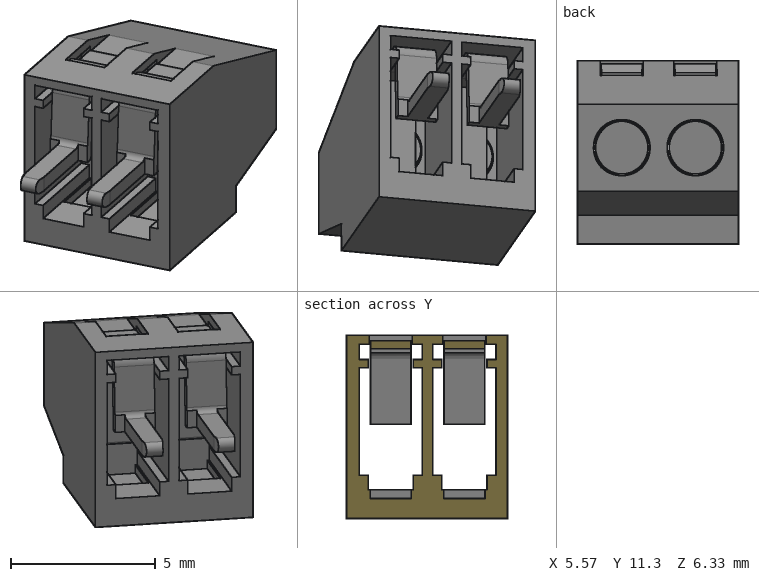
import cadquery as cq
import math


width = 5.57
depth = 8.5
height = 6.33
slope_start_y = 3.5
back_top_z = 4.83
back_bottom_z = 1.83
foot_depth = 5.3
foot_height = 1.0

pitch = 2.54
row_shift = -0.02
pole_xs = [row_shift - pitch / 2, row_shift + pitch / 2]

cavity_width = 2.17
cavity_floor_z = 1.0
cavity_top_z = 6.01
cavity_depth = 3.69
channel_width = 1.55
ledge_z = 1.5
rib_bottom_z = 5.2
rib_top_z = 5.5
pit_front_y = 1.55
pit_depth = 0.3

slot_width = 1.48
slot_front_y = 1.74
slot_floor_z = 5.825

strip_width = 1.41
pin_width = 0.72
pin_tip_width = 0.58
pin_bottom_z = 3.25
pin_thickness = 0.52
pin_reach = 2.8
pin_taper_length = 0.48
shoulder_y = 0.445
leaf_root_y = 0.47
leaf_lean = math.radians(4)
leaf_thickness = 0.3
leaf_root_radius = 0.22
leaf_top_radius = 0.48
leaf_embed = 0.01
leaf_top_z = cavity_top_z + leaf_embed
leaf_end_y = 1.7

bracket_thickness = 0.15
bracket_top_z = 5.92
bracket_bottom_z = 1.82
bracket_front_y = 1.78
bracket_back_y = 3.7
bracket_edge_radius = 0.1
lip_bend_y = 2.73
lip_angle = math.radians(26)
lip_radius = 0.26
lip_end_height = 0.1

screw_z = (back_top_z + back_bottom_z) / 2
screw_bore_radius = 0.97
screw_radius = 0.91


def block(x_center, x_size, y_range, z_range):
    """Box centred on x_center, spanning the given Y and Z ranges."""
    y0, y1 = y_range
    z0, z1 = z_range
    base = cq.Workplane("XY", origin=(x_center, y0, z0))
    return base.box(x_size, y1 - y0, z1 - z0, centered=(True, False, False))


def rod(x, radius, y_start):
    """Cylinder along Y on the screw axis, ending at the back face."""
    axis_start = cq.Vector(x, y_start, screw_z)
    return cq.Workplane(cq.Solid.makeCylinder(radius, depth - y_start, axis_start, cq.Vector(0, 1, 0)))


def bend(corner, direction_in, direction_out, radius):
    """Start and end points of an arc rounding a corner between two directions."""
    cosine = direction_in[0] * direction_out[0] + direction_in[1] * direction_out[1]
    setback = radius * math.tan(math.acos(cosine) / 2)
    start = (corner[0] - setback * direction_in[0], corner[1] - setback * direction_in[1])
    end = (corner[0] + setback * direction_out[0], corner[1] + setback * direction_out[1])
    return start, end


def housing_blank():
    outline = [
        (0, 0),
        (foot_depth, 0),
        (foot_depth, foot_height),
        (depth, back_bottom_z),
        (depth, back_top_z),
        (slope_start_y, height),
        (0, height),
    ]
    return cq.Workplane("YZ").polyline(outline).close().extrude(width / 2, both=True)


def pole_opening(x):
    """Cavity, top slot, floor pit and screw bore of one pole."""
    y_range = (0, cavity_depth)
    slope = (height - back_top_z) / (depth - slope_start_y)
    slot_back_y = slope_start_y + (height - slot_floor_z) / slope
    opening = block(x, channel_width, y_range, (cavity_floor_z, cavity_top_z))
    opening = opening.union(block(x, cavity_width, y_range, (ledge_z, rib_bottom_z)))
    opening = opening.union(block(x, cavity_width, y_range, (rib_top_z, cavity_top_z)))
    opening = opening.union(block(x, slot_width, (slot_front_y, slot_back_y), (slot_floor_z, height)))
    pit_z = (cavity_floor_z - pit_depth, cavity_floor_z)
    opening = opening.union(block(x, strip_width, (pit_front_y, cavity_depth), pit_z))
    return opening.union(rod(x, screw_bore_radius, cavity_depth))


def pin_strip(x):
    """Pin with a round nose that bends up into the leaf and over at the top."""
    pin_top_z = pin_bottom_z + pin_thickness
    nose_radius = pin_thickness / 2
    nose_y = -pin_reach + nose_radius
    back, up = (1, 0), (math.sin(leaf_lean), math.cos(leaf_lean))

    def leaf_y(z, offset=0):
        return leaf_root_y + (z - pin_top_z) * math.tan(leaf_lean) + offset / math.cos(leaf_lean)

    inner_top_z = leaf_top_z - leaf_thickness
    root_start, root_end = bend((leaf_root_y, pin_top_z), back, up, leaf_root_radius)
    top_start, top_end = bend((leaf_y(leaf_top_z), leaf_top_z), up, back, leaf_top_radius)
    inner_corner = (leaf_y(inner_top_z, leaf_thickness), inner_top_z)
    inner_start, inner_end = bend(inner_corner, up, back, leaf_top_radius - leaf_thickness)
    profile = (
        cq.Workplane("YZ")
        .moveTo(nose_y, pin_bottom_z)
        .threePointArc((-pin_reach, pin_bottom_z + nose_radius), (nose_y, pin_top_z))
        .lineTo(*root_start)
        .tangentArcPoint(root_end, relative=False)
        .lineTo(*top_start)
        .tangentArcPoint(top_end, relative=False)
        .lineTo(leaf_end_y, leaf_top_z)
        .lineTo(leaf_end_y, inner_top_z)
        .lineTo(*inner_end)
        .tangentArcPoint(inner_start, relative=False)
        .lineTo(leaf_y(pin_bottom_z, leaf_thickness), pin_bottom_z)
        .close()
        .extrude(strip_width / 2, both=True)
    )
    half_outline = [
        (pin_tip_width / 2, -pin_reach),
        (pin_width / 2, -pin_reach + pin_taper_length),
        (pin_width / 2, shoulder_y),
        (strip_width / 2, shoulder_y),
        (strip_width / 2, leaf_end_y),
    ]
    mirrored_half = [(-px, py) for px, py in reversed(half_outline)]
    plan = cq.Workplane("XY").polyline(half_outline + mirrored_half).close().extrude(height)
    return profile.intersect(plan).translate((x, 0, 0))


def bracket(x):
    """Angle bracket: upright leg on the cavity back, flange with a raised front lip."""
    rise = math.tan(lip_angle)
    lip_corner = (bracket_front_y, bracket_top_z + (lip_bend_y - bracket_front_y) * rise)
    lip_direction = (-math.cos(lip_angle), math.sin(lip_angle))
    lip_start, lip_end = bend(lip_corner, lip_direction, (0, -1), lip_radius)
    leg_front_y = bracket_back_y - bracket_thickness
    flange_bottom_z = bracket_top_z - bracket_thickness
    profile = (
        cq.Workplane("YZ")
        .moveTo(bracket_back_y, bracket_bottom_z)
        .lineTo(bracket_back_y, flange_bottom_z)
        .tangentArcPoint((leg_front_y, bracket_top_z), relative=False)
        .lineTo(lip_bend_y, bracket_top_z)
        .lineTo(*lip_start)
        .tangentArcPoint(lip_end, relative=False)
        .lineTo(bracket_front_y, lip_end[1] - lip_end_height)
        .lineTo(lip_bend_y, flange_bottom_z)
        .lineTo(leg_front_y, flange_bottom_z)
        .lineTo(leg_front_y, bracket_bottom_z + bracket_edge_radius)
        .tangentArcPoint((leg_front_y + bracket_edge_radius, bracket_bottom_z), relative=False)
        .close()
        .extrude(strip_width / 2, both=True)
    )
    return profile.translate((x, 0, 0))


def clamp_screw(x):
    leg_middle_y = bracket_back_y - bracket_thickness / 2
    return rod(x, screw_radius, leg_middle_y)


result = housing_blank()
for pole_x in pole_xs:
    result = result.cut(pole_opening(pole_x))
for pole_x in pole_xs:
    result = result.union(pin_strip(pole_x))
    result = result.union(bracket(pole_x))
    result = result.union(clamp_screw(pole_x))